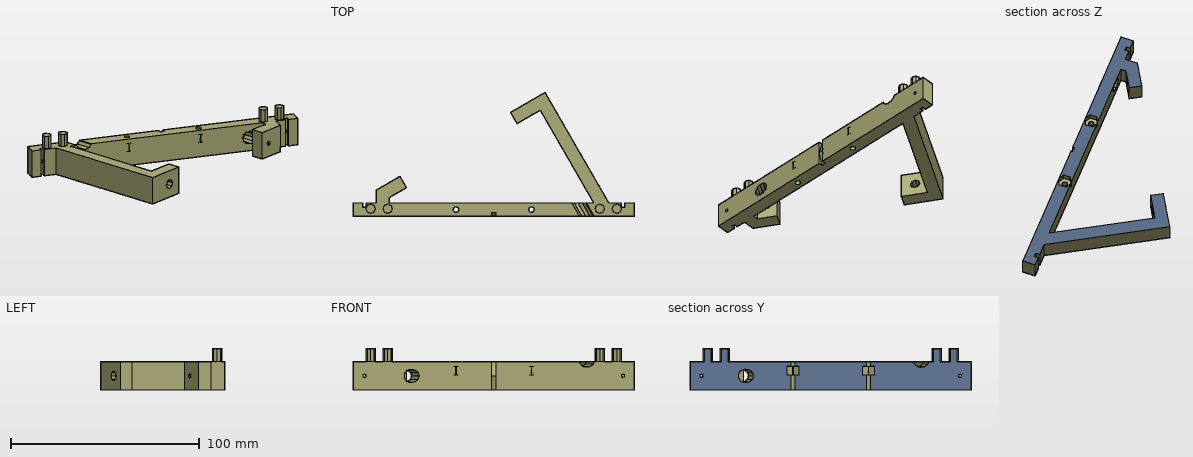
import cadquery as cq
import math

BAR_LENGTH = 149.0
BAR_THICKNESS = 7.2
BAR_HEIGHT = 15.0
MID_Z = BAR_HEIGHT / 2
MID_Y = BAR_THICKNESS / 2
MID_X = BAR_LENGTH / 2

TOTAL_HEIGHT = 21.9
PEG_DIAMETER = 5.0
PEG_SIDES = 8
PEG_INSETS = (9.3, 18.3)
PEG_Y = 4.1

BEAM_ANGLE = 120.0
ALONG_X = math.cos(math.radians(BEAM_ANGLE))
ALONG_Y = math.sin(math.radians(BEAM_ANGLE))
HOOK_X = -ALONG_Y
HOOK_Y = ALONG_X
PLATE_THICKNESS = 7.0
TOTAL_DEPTH = 65.77
ARM_FOOT_X = 135.5
TALL_HOOK_LENGTH = 21.2

LEG_LEFT_X = 12.2
LEG_WIDTH = 7.0
LEG_OUTER_Y = 14.0
SHORT_HOOK_LENGTH = 14.6

BEAM_DIAMETER = 7.0
BEAM_SIDES = 11
LEFT_BEAM_X = 31.0
RIGHT_BEAM_X = 123.9
BEAM_CLEARANCE = 2.5
TROUGH_AXIS_Z = 15.6
TALL_HOOK_HOLE_DIAMETER = 5.0
TALL_HOOK_HOLE_SIDES = 8
SHORT_HOOK_HOLE_DIAMETER = 2.2
SHORT_HOOK_HOLE_SIDES = 5

SLOT_INSET = 6.0
SLOT_WIDTH = 1.8
SLOT_DEPTH = 2.2
CROSS_HOLE_DIAMETER = 1.5

SCREW_OFFSET = 20.0
SCREW_DIAMETER = 2.8
NUT_CORNERS = BAR_THICKNESS + 0.1
NUT_SIDES = 6
NUT_BOTTOM_Z = 8.0
NUT_TOP_Z = 12.5

NOTCH_WIDTH = 2.3
NOTCH_DEPTH = 2.2
NOTCH_OVERSHOOT = 1.0


def prism(sides, diameter, start, direction, length, x_direction):
    """Regular prism with a corner pointing along x_direction."""
    plane = cq.Plane(origin=start, xDir=x_direction, normal=direction)
    return cq.Workplane(plane).polygon(sides, diameter).extrude(length)


def cylinder(diameter, start, direction, length):
    """Round bar from start along direction."""
    plane = cq.Plane(origin=start, normal=direction)
    return cq.Workplane(plane).circle(diameter / 2).extrude(length)


def make_bar():
    return cq.Workplane("XY").box(BAR_LENGTH, BAR_THICKNESS, BAR_HEIGHT, centered=False)


def make_tall_arm():
    """Slanted arm with its hook turned back toward the left."""
    corner_x = ARM_FOOT_X + (TOTAL_DEPTH - BAR_THICKNESS) * ALONG_X / ALONG_Y
    root_length = (TOTAL_DEPTH - MID_Y) / ALONG_Y

    def from_corner(across, back):
        return (corner_x + across * HOOK_X - back * ALONG_X,
                TOTAL_DEPTH + across * HOOK_Y - back * ALONG_Y)

    return (
        cq.Workplane("XY")
        .polyline([
            (corner_x, TOTAL_DEPTH),
            from_corner(TALL_HOOK_LENGTH, 0),
            from_corner(TALL_HOOK_LENGTH, PLATE_THICKNESS),
            from_corner(PLATE_THICKNESS, PLATE_THICKNESS),
            from_corner(PLATE_THICKNESS, root_length),
            from_corner(0, root_length),
        ])
        .close()
        .extrude(BAR_HEIGHT)
    )


def make_short_hook():
    """Upright leg whose end is turned to the right, square to the beam."""
    tip_x = LEG_LEFT_X - SHORT_HOOK_LENGTH * HOOK_X
    tip_y = LEG_OUTER_Y - SHORT_HOOK_LENGTH * HOOK_Y
    inner_tip_x = tip_x - PLATE_THICKNESS * ALONG_X
    inner_tip_y = tip_y - PLATE_THICKNESS * ALONG_Y
    leg_right_x = LEG_LEFT_X + LEG_WIDTH
    bend_y = inner_tip_y - (inner_tip_x - leg_right_x) * HOOK_Y / HOOK_X
    return (
        cq.Workplane("XY")
        .polyline([
            (LEG_LEFT_X, MID_Y),
            (LEG_LEFT_X, LEG_OUTER_Y),
            (tip_x, tip_y),
            (inner_tip_x, inner_tip_y),
            (leg_right_x, bend_y),
            (leg_right_x, MID_Y),
        ])
        .close()
        .extrude(BAR_HEIGHT)
    )


def make_peg(x):
    return prism(PEG_SIDES, PEG_DIAMETER, (x, PEG_Y, MID_Z), (0, 0, 1), TOTAL_HEIGHT - MID_Z, (1, 0, 0))


def beam_cut(front_x, z, sides, diameter, from_y, to_y):
    """Passage along the beam that crosses the front face at front_x."""
    start = (front_x + from_y * ALONG_X / ALONG_Y, from_y, z)
    length = (to_y - from_y) / ALONG_Y
    return prism(sides, diameter, start, (ALONG_X, ALONG_Y, 0), length, (-HOOK_X, -HOOK_Y, 0))


def make_beam_cuts():
    past_bar = BAR_THICKNESS + BEAM_CLEARANCE
    bar_holes = [
        beam_cut(x, z, BEAM_SIDES, BEAM_DIAMETER, -BEAM_CLEARANCE, past_bar)
        for x, z in ((LEFT_BEAM_X, MID_Z), (RIGHT_BEAM_X, TROUGH_AXIS_Z))
    ]
    hook_holes = [
        beam_cut(LEFT_BEAM_X, MID_Z, SHORT_HOOK_HOLE_SIDES, SHORT_HOOK_HOLE_DIAMETER,
                 past_bar, LEG_OUTER_Y + SHORT_HOOK_LENGTH),
        beam_cut(RIGHT_BEAM_X, MID_Z, TALL_HOOK_HOLE_SIDES, TALL_HOOK_HOLE_DIAMETER,
                 TOTAL_DEPTH - TALL_HOOK_LENGTH, TOTAL_DEPTH),
    ]
    return bar_holes + hook_holes


def make_end_cuts(x):
    slot = cq.Workplane("XY").box(SLOT_WIDTH, 2 * SLOT_DEPTH, BAR_HEIGHT, centered=(True, True, False))
    hole = cylinder(CROSS_HOLE_DIAMETER, (x, 0, MID_Z), (0, 1, 0), BAR_THICKNESS)
    return [slot.translate((x, BAR_THICKNESS, 0)), hole]


def make_screw_cuts(x):
    hole = cylinder(SCREW_DIAMETER, (x, MID_Y, 0), (0, 0, 1), BAR_HEIGHT)
    pocket = prism(NUT_SIDES, NUT_CORNERS, (x, MID_Y, NUT_BOTTOM_Z), (0, 0, 1),
                   NUT_TOP_Z - NUT_BOTTOM_Z, (0, 1, 0))
    return [hole, pocket]


def make_centre_notch():
    """Two wedges that leave a ridge at mid height level with the front face."""
    return (
        cq.Workplane("YZ", origin=(MID_X - NOTCH_WIDTH / 2, 0, 0))
        .polyline([
            (-NOTCH_OVERSHOOT, 0),
            (NOTCH_DEPTH, 0),
            (0, MID_Z),
            (NOTCH_DEPTH, BAR_HEIGHT),
            (-NOTCH_OVERSHOOT, BAR_HEIGHT),
        ])
        .close()
        .extrude(NOTCH_WIDTH)
    )


result = make_bar().union(make_tall_arm()).union(make_short_hook())
for inset in PEG_INSETS:
    result = result.union(make_peg(inset)).union(make_peg(BAR_LENGTH - inset))

cuts = make_beam_cuts() + [make_centre_notch()]
for side in (-1, 1):
    cuts += make_end_cuts(MID_X + side * (MID_X - SLOT_INSET))
    cuts += make_screw_cuts(MID_X + side * SCREW_OFFSET)
for cut in cuts:
    result = result.cut(cut)